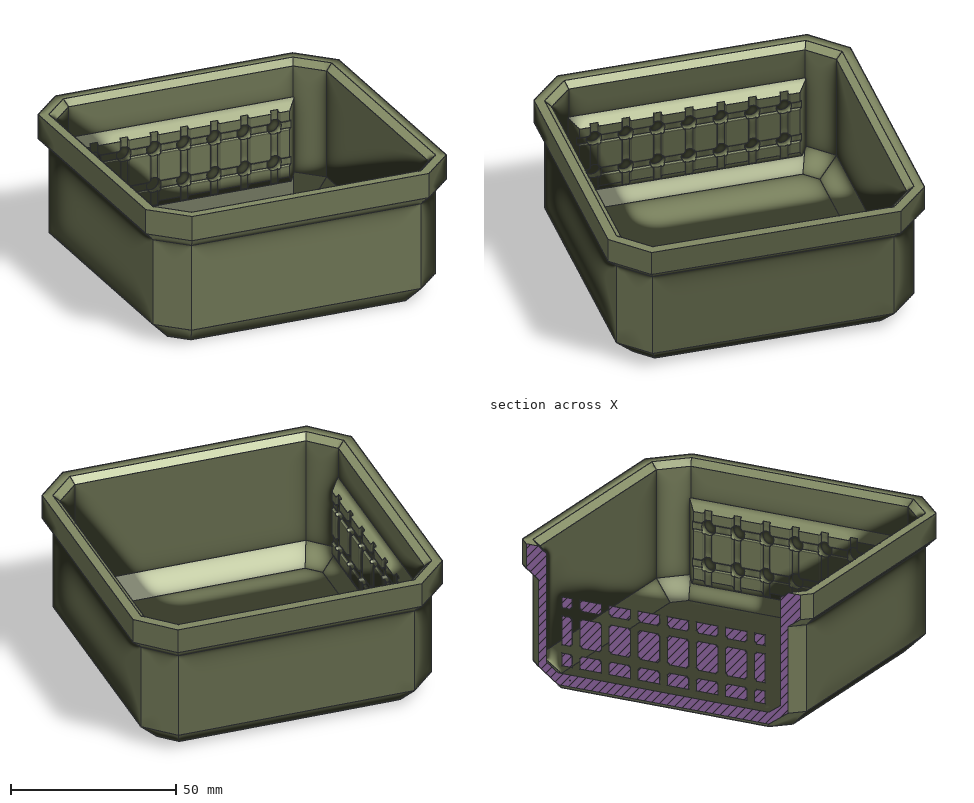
import cadquery as cq
import math

box_width = 100.0
box_height = 45.0
corner_cut = 10.6
rim_height = 8.0
rim_overhang = 3.0
foot_height = 6.0

wall = 2.0
floor_thickness = 2.0
rim_land = 3.0
floor_bevel = 6.0
cavity_inset = rim_overhang + wall

panel_thickness = 3.0
panel_length = 69.6
panel_top = 32.8
panel_root = wall / 2
undercut_depth = 1.0
undercut_height = 2.0

groove_width = 2.4
groove_depth = 0.8
groove_lip = 0.4
column_count = 7
column_pitch = 10.0
row_count = 2
row_pitch = 12.0
first_row = 13.1
socket_diameter = 4.8
socket_depth = panel_thickness

wall_x = box_width / 2 - cavity_inset
face_x = wall_x - panel_thickness
root_x = wall_x + panel_root

column_places = [(i - (column_count - 1) / 2) * column_pitch for i in range(column_count)]
row_places = [first_row + i * row_pitch for i in range(row_count)]


def octagon(inset, z):
    """Square outline with bevelled corners, all eight sides the same inset from the rim outline."""
    half = box_width / 2 - inset
    flat = half - corner_cut + inset * (2 - math.sqrt(2))
    points = [
        (half, -flat), (half, flat), (flat, half), (-flat, half),
        (-half, flat), (-half, -flat), (-flat, -half), (flat, -half),
    ]
    return cq.Wire.makePolygon([cq.Vector(x, y, z) for x, y in points], close=True)


def stacked(levels):
    """Solid through a rising list of (inset, z) levels, with flat sides between them."""
    body = cq.Workplane("XY")
    for lower, upper in zip(levels, levels[1:]):
        body = body.add(cq.Solid.makeLoft([octagon(*lower), octagon(*upper)], True))
    return body.combine()


def outer_body():
    rim_bottom = box_height - rim_height
    return stacked([
        (rim_overhang + foot_height, 0),
        (rim_overhang, foot_height),
        (rim_overhang, rim_bottom - rim_overhang),
        (0, rim_bottom),
        (0, box_height),
    ])


def cavity():
    rim_bevel = cavity_inset - rim_land
    return stacked([
        (cavity_inset + floor_bevel, floor_thickness),
        (cavity_inset, floor_thickness + floor_bevel),
        (cavity_inset, box_height - rim_bevel),
        (rim_land, box_height),
    ])


def panel_blank():
    """Plain panel on the +X wall with a 45 degree top and ends and an undercut lower edge."""
    half = panel_length / 2
    root_half = half + root_x - face_x
    plan = [(face_x, -half), (face_x, half), (root_x, root_half), (root_x, -root_half)]

    undercut_x = face_x + undercut_depth
    undercut_z = floor_thickness + floor_bevel - (wall_x - undercut_x)
    profile = [
        (undercut_x, floor_thickness),
        (undercut_x, undercut_z),
        (face_x, undercut_z + undercut_height),
        (face_x, panel_top - panel_thickness),
        (wall_x, panel_top),
        (root_x, panel_top),
        (root_x, floor_thickness),
    ]
    length = cq.Workplane("XZ").polyline(profile).close().extrude(box_width / 2, both=True)
    return cq.Workplane("XY").polyline(plan).close().extrude(box_height).intersect(length)


def groove_cutter():
    """Cutter for a groove along Z with rounded lips, its mouth on X = 0 and its floor towards +X."""
    half = groove_width / 2
    mouth = half + groove_lip
    arc_middle = groove_lip * (1 - math.sqrt(0.5))
    return (
        cq.Workplane("XY")
        .moveTo(groove_depth, -half)
        .lineTo(groove_lip, -half)
        .threePointArc((arc_middle, -half - arc_middle), (0, -mouth))
        .lineTo(-groove_depth, -mouth)
        .lineTo(-groove_depth, mouth)
        .lineTo(0, mouth)
        .threePointArc((arc_middle, half + arc_middle), (groove_lip, half))
        .lineTo(groove_depth, half)
        .close()
        .extrude(box_width, both=True)
    )


def panel():
    """Panel on the +X wall with its upright and level grooves and the sockets at their crossings."""
    body = panel_blank()
    upright_groove = groove_cutter()
    level_groove = upright_groove.rotate((0, 0, 0), (1, 0, 0), 90)
    for y in column_places:
        body = body.cut(upright_groove.translate((face_x, y, 0)))
    for z in row_places:
        body = body.cut(level_groove.translate((face_x, 0, z)))
    sockets = (
        cq.Workplane("YZ", origin=(face_x, 0, 0))
        .pushPoints([(y, z) for y in column_places for z in row_places])
        .circle(socket_diameter / 2)
        .extrude(socket_depth)
    )
    return body.cut(sockets)


outside = outer_body()
shell = outside.cut(cavity())
right_panel = panel().intersect(outside)
left_panel = right_panel.mirror("YZ")
result = shell.union(right_panel).union(left_panel)